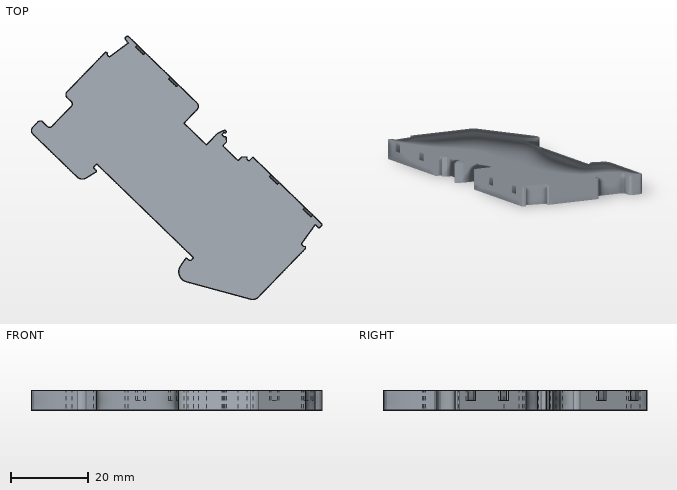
import cadquery as cq
import math


THICKNESS = 5.2
RAIL_ANGLE = -44.1

LEFT = -34.05
RIGHT = 38.4
TOP = 15.7
RAIL_SEAT = -13.7
FOOT_BOTTOM = -19.6

NOTCH_WALL = -30.65
NOTCH_BOTTOM = -15.55
NOTCH_TOP = -6.7

RAIL_LEFT = -15.55
RAIL_RIGHT = 19.25
LIP = -14.95

WELL_LEFT = -6.7
WELL_RIGHT = 1.35
WELL_FLOOR = 9.6
GAP_LEFT = 4.6
GAP_RIGHT = 10.1
GAP_FLOOR = 12.4
SHELF = 14.3
BEAD = 14.65
RIGHT_BLOCK = 12.2

RECESS_STARTS = (-29.4, -17.5, 18.8, 30.9)
RECESS_LENGTH = 2.85
RECESS_WIDTH = 0.7
RECESS_DEPTH = THICKNESS / 2

TINY = 0.2
SMALL = 0.3
MEDIUM = 0.8

top_corners = [
    (-32.9, TOP, 0.4),
    (WELL_LEFT, TOP, 1.2),
    (WELL_LEFT, WELL_FLOOR, 0),
    (WELL_RIGHT, WELL_FLOOR, 0),
]

latch_finger_corners = [
    (WELL_RIGHT, 13.8, 1.5),
    (2.1, TOP, TINY),
    (2.8, TOP, SMALL),
    (2.8, 15.1, 0),
    (2.4, 15.1, 0),
    (2.4, SHELF, TINY),
    (3.1, SHELF, 0),
    (3.6, BEAD, SMALL),
    (GAP_LEFT, 13.8, TINY),
    (GAP_LEFT, GAP_FLOOR, 0),
]

right_block_corners = [
    (GAP_RIGHT, GAP_FLOOR, 0),
    (GAP_RIGHT, 13.7, TINY),
    (11.05, BEAD, TINY),
    (11.5, SHELF, 0),
    (RIGHT_BLOCK, SHELF, TINY),
    (RIGHT_BLOCK, TOP, 0),
]

right_end_corners = [
    (37.3, TOP, SMALL),
    (37.3, 14.35, SMALL),
    (35.9, 14.35, 0),
    (36.8, 8.3, SMALL),
    (37.65, 8.3, 0),
    (38.0, 8.65, TINY),
    (RIGHT, 8.2, TINY),
    (RIGHT, -10.5, 2.0),
]

rail_side_corners = [
    (18.95, -21.3, 2.7),
    (17.9, LIP, TINY),
    (18.55, LIP, 0),
    (RAIL_RIGHT, -14.7, TINY),
    (RAIL_RIGHT, RAIL_SEAT, 0),
    (RAIL_LEFT, RAIL_SEAT, 0),
    (RAIL_LEFT, LIP, SMALL),
    (-14.1, LIP, TINY),
    (-15.3, FOOT_BOTTOM, 1.9),
]

left_end_corners = [
    (LEFT, FOOT_BOTTOM, 1.3),
    (LEFT, NOTCH_BOTTOM, MEDIUM),
    (NOTCH_WALL, NOTCH_BOTTOM, MEDIUM),
    (NOTCH_WALL, NOTCH_TOP, MEDIUM),
    (LEFT, NOTCH_TOP, 1.05),
    (LEFT, 8.65, TINY),
    (-33.7, 8.95, TINY),
    (-33.15, 8.5, TINY),
    (-32.5, 8.5, SMALL),
    (-31.5, 14.4, 0),
    (-33.0, 14.65, SMALL),
]

outline_corners = (
    top_corners
    + latch_finger_corners
    + right_block_corners
    + right_end_corners
    + rail_side_corners
    + left_end_corners
)


def rounding_points(before, corner, after):
    """Start, middle and end of the tangent arc that rounds one corner."""
    point = cq.Vector(*corner[:2])
    radius = corner[2]
    to_before = (cq.Vector(*before[:2]) - point).normalized()
    to_after = (cq.Vector(*after[:2]) - point).normalized()
    half_angle = to_before.getAngle(to_after) / 2
    tangent_length = radius / math.tan(half_angle)
    bisector = (to_before + to_after).normalized()
    crest_distance = radius / math.sin(half_angle) - radius
    return (
        point + to_before * tangent_length,
        point + bisector * crest_distance,
        point + to_after * tangent_length,
    )


def rounded_outline(corners):
    """Closed wire of straight sides, with an arc at each corner that has a radius."""
    _, _, start = rounding_points(corners[-2], corners[-1], corners[0])
    wire = cq.Workplane("XY").moveTo(start.x, start.y)
    for index, corner in enumerate(corners):
        following = corners[(index + 1) % len(corners)]
        start, middle, end = rounding_points(corners[index - 1], corner, following)
        wire = wire.lineTo(start.x, start.y)
        if corner[2] > 0:
            wire = wire.threePointArc(middle.toTuple()[:2], end.toTuple()[:2])
    return wire.close()


def marker_recess(start):
    """Shallow block to remove from the top edge, open to the upper face."""
    return (
        cq.Workplane("XY", origin=(0, 0, THICKNESS - RECESS_DEPTH))
        .moveTo(start + RECESS_LENGTH / 2, TOP)
        .rect(RECESS_LENGTH, 2 * RECESS_WIDTH)
        .extrude(RECESS_DEPTH)
    )


housing = rounded_outline(outline_corners).extrude(THICKNESS)
for recess_start in RECESS_STARTS:
    housing = housing.cut(marker_recess(recess_start))

result = housing.rotate((0, 0, 0), (0, 0, 1), RAIL_ANGLE)